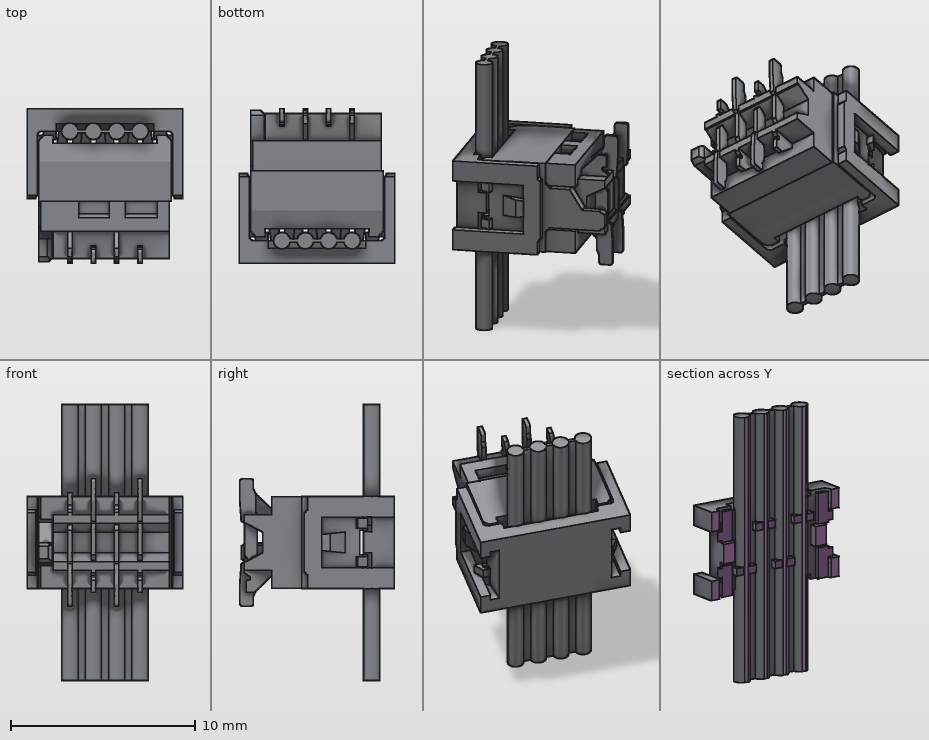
import cadquery as cq


WIRE_COUNT = 4
WIRE_SPAN = 3.81
WIRE_PITCH = WIRE_SPAN / (WIRE_COUNT - 1)
WIRE_DIAMETER = 0.9
WEB_THICKNESS = 0.18
CABLE_LENGTH = 15
wire_places = [i * WIRE_PITCH - WIRE_SPAN / 2 for i in range(WIRE_COUNT)]

OVERALL_DEPTH = 8.4
CONNECTOR_HEIGHT = 5.01
HALF_HEIGHT = CONNECTOR_HEIGHT / 2
BODY_HALF_WIDTH = 3.6
SIDE_CLEARANCE = 0.08
BACK_CLEARANCE = 0.22

COVER_WIDTH = 8.46
COVER_HALF_WIDTH = COVER_WIDTH / 2
COVER_BACK_Y = 1.23
COVER_INNER_HALF_WIDTH = BODY_HALF_WIDTH + SIDE_CLEARANCE
COVER_CORNER_RADIUS = 0.25
ARM_SHOULDER_Y = -3.48
ARM_TIP_Y = -3.66
ARM_TIP_HALF_HEIGHT = 1.6
ARM_TIP_BEVEL = 0.09
ARM_WINDOW_Y = -2.72
ARM_WINDOW_HALF_HEIGHT = 1.38
CORE_HOLE_BACK_X = 3.16
CORE_HOLE_FRONT_X = 3.35
CORE_HOLE_HALF_HEIGHT = 1.7
WIRE_MOUTH_HALF_WIDTH = 2.65
WIRE_MOUTH_BACK_Y = 0.42
WIRE_MOUTH_DEPTH = 0.28
STOP_FRONT_Y = -0.45
CORE_HOLE_FLARE = (CORE_HOLE_FRONT_X - CORE_HOLE_BACK_X) / COVER_BACK_Y
STOP_OUTER_X = CORE_HOLE_FRONT_X - CORE_HOLE_FLARE * STOP_FRONT_Y
STOP_HALF_HEIGHT = 0.57
STOP_CLEARANCE = 0.09

BODY_BACK_Y = -BACK_CLEARANCE
BODY_FRONT_Y = -3.8
BODY_CORNER_CHAMFER = 0.27
BODY_TAPER_Y = -1.64
BODY_TAPER_DROP = 0.09
BLOCK_HALF_WIDTH = 3.5
BLOCK_HALF_HEIGHT = HALF_HEIGHT - 0.02
BLOCK_FRONT_Y = -5.43
WIRE_SEAT_HALF_WIDTH = 2.82
WIRE_SEAT_Y = -0.65
STOP_RECESS_HALF_HEIGHT = STOP_HALF_HEIGHT + STOP_CLEARANCE

FLANGE_LEFT_X = -2.82
FLANGE_FRONT_Y = -6.92
FLANGE_OUTER_Z = 1.52
FLANGE_EDGE_Z = 1.05
GROOVE_RIM_Y = -6.82
GROOVE_FLOOR_Y = -5.92
GROOVE_FLOOR_Z = 0.55

POCKET_PLACES = [(-1.42, 0.24), (1.11, 2.84)]
POCKET_FLOOR_FRONT_Y = -4.47
POCKET_FRONT_Y = -4.7
POCKET_BACK_DEPTH = 0.44
POCKET_FRONT_DEPTH = 0.4

LATCH_BAY_ROOT_Z = 1.42
LATCH_BAY_HALF_HEIGHT = 1.25
LATCH_BAY_CHAMFER_Y = -3.9
LATCH_INNER_X = -2.86
LATCH_ROOT_Z = 1.35
LATCH_ROOT_Y = -4.05
LATCH_HALF_HEIGHT = 1.11
LATCH_SLOPE_TOP_Y = -5.15
LATCH_SLOPE_FOOT_Y = -5.84
LATCH_LEDGE_Z = -0.02
LATCH_NOSE_Y = -6.81
LATCH_TIP_Y = -7.1
LATCH_TIP_TOP_Z = -0.2
LATCH_TIP_BOTTOM_Z = -0.88
LATCH_TIP_INNER_X = -3.08
LATCH_BEVEL_START_Y = -6.9
LATCH_LEDGE_BEVEL_X = -3.14
LATCH_LEDGE_BEVEL_DROP = 0.14

WEDGE_HEIGHT = 0.51
WEDGE_BACK_Y = -1.44
WEDGE_CREST_Y = -2.25
WEDGE_FRONT_Y = ARM_WINDOW_Y
WEDGE_BACK_HALF_HEIGHT = 0.57
WEDGE_FRONT_HALF_HEIGHT = 0.44

HOOK_BACK_X = COVER_INNER_HALF_WIDTH
HOOK_CREST_X = 4.02
HOOK_CREST_Y = -0.76
HOOK_FRONT_Y = -0.82
HOOK_LOW_Z = 0.78
HOOK_HIGH_Z = 1.3

CONTACT_THICKNESS = 0.24
LEG_BACK_Y = -6.21
LEG_SHOULDER_Y = -6.28
LEG_SHOULDER_BOTTOM_Z = 1.65
LEG_SHOULDER_TOP_Z = 2.62
LEG_BLADE_Y = -6.42
LEG_BLADE_Z = 2.92
LEG_TIP_Z = 3.46
LEG_TIP_RADIUS = 0.15
LEG_FRONT_Y = COVER_BACK_Y - OVERALL_DEPTH
LEG_FRONT_Z = 2.25
LEG_HEEL_Y = -7.1
LEG_HEEL_Z = 1.15
LEG_ROOT_Z = 0.66
LEG_POINT_Y = -6.69
LEG_POINT_Z = 0.96
STUB_BACK_Z = 1.82
STUB_SLOPE_END_Y = -6.35
STUB_FRONT_Y = -6.82
STUB_END_Z = 2.7
STUB_NOTCH_BOTTOM_Z = -2.05
STUB_NOTCH_RADIUS = 0.12
STUB_FOOT_Z = 1.65
TINE_BASE_HALF_WIDTH = 0.69
TINE_TOP_HALF_WIDTH = 0.6
TINE_SLOT_WIDTH = 0.3
TINE_Z = 0.95
TINE_THICKNESS = 0.45


def box(x0, x1, y0, y1, z0, z1):
    """Box between two corners."""
    return cq.Workplane("XY").box(x1 - x0, y1 - y0, z1 - z0, centered=False).translate((x0, y0, z0))


def prism_x(points, x0, x1):
    """Outline of (Y, Z) points extruded from x0 to x1."""
    return cq.Workplane("YZ").polyline(points).close().extrude(x1 - x0).translate((x0, 0, 0))


def prism_z(points, z0, z1):
    """Outline of (X, Y) points extruded from z0 to z1."""
    return cq.Workplane("XY").polyline(points).close().extrude(z1 - z0).translate((0, 0, z0))


def both_sides(shape):
    """The shape together with its mirror image across X = 0."""
    return shape.union(shape.mirror("YZ"))


def both_ends(shape):
    """The shape together with its mirror image across Z = 0."""
    return shape.union(shape.mirror("XY"))


def make_cable():
    half_length = CABLE_LENGTH / 2
    half_web = WEB_THICKNESS / 2
    cable = box(-WIRE_SPAN / 2, WIRE_SPAN / 2, -half_web, half_web, -half_length, half_length)
    for x in wire_places:
        wire = cq.Workplane("XY").circle(WIRE_DIAMETER / 2).extrude(CABLE_LENGTH)
        cable = cable.union(wire.translate((x, 0, -half_length)))
    return cable


def cover_arm_bevels():
    """Cut that thins the arm ends, leaving a bevelled tongue at mid height."""
    step = ARM_SHOULDER_Y - ARM_TIP_Y
    corner = prism_x([
        (ARM_TIP_Y, ARM_TIP_HALF_HEIGHT),
        (ARM_SHOULDER_Y, ARM_TIP_HALF_HEIGHT + step),
        (ARM_SHOULDER_Y, HALF_HEIGHT),
        (ARM_TIP_Y, HALF_HEIGHT),
    ], -COVER_HALF_WIDTH, COVER_HALF_WIDTH)
    inner_edge = prism_z([
        (COVER_INNER_HALF_WIDTH, ARM_TIP_Y),
        (COVER_INNER_HALF_WIDTH + ARM_TIP_BEVEL, ARM_TIP_Y),
        (COVER_INNER_HALF_WIDTH + ARM_TIP_BEVEL, ARM_TIP_Y + ARM_TIP_BEVEL),
        (COVER_INNER_HALF_WIDTH, ARM_TIP_Y + 2 * ARM_TIP_BEVEL),
    ], -HALF_HEIGHT, HALF_HEIGHT)
    return both_ends(corner).union(both_sides(inner_edge))


def cover_windows():
    """Side windows through the arms, and core holes through the back wall behind them."""
    window = box(COVER_INNER_HALF_WIDTH, COVER_HALF_WIDTH, ARM_WINDOW_Y, COVER_BACK_Y,
                 -ARM_WINDOW_HALF_HEIGHT, ARM_WINDOW_HALF_HEIGHT)
    core_hole = prism_z([
        (CORE_HOLE_BACK_X, COVER_BACK_Y),
        (COVER_INNER_HALF_WIDTH, COVER_BACK_Y),
        (COVER_INNER_HALF_WIDTH, -COVER_CORNER_RADIUS),
        (CORE_HOLE_FRONT_X, -COVER_CORNER_RADIUS),
        (CORE_HOLE_FRONT_X, 0),
    ], -CORE_HOLE_HALF_HEIGHT, CORE_HOLE_HALF_HEIGHT)
    return both_sides(window.union(core_hole))


def cover_stop():
    """Lug ahead of the back wall that enters the recess in the back of the housing."""
    return prism_z([
        (WIRE_MOUTH_HALF_WIDTH, 0),
        (CORE_HOLE_FRONT_X, 0),
        (STOP_OUTER_X, STOP_FRONT_Y),
        (WIRE_MOUTH_HALF_WIDTH, STOP_FRONT_Y),
    ], -STOP_HALF_HEIGHT, STOP_HALF_HEIGHT)


def cover_wire_mouth():
    """Sloped lead-in where the cable enters and leaves the back wall."""
    mouth = prism_x([
        (0, HALF_HEIGHT),
        (WIRE_MOUTH_BACK_Y, HALF_HEIGHT),
        (0, HALF_HEIGHT - WIRE_MOUTH_DEPTH),
    ], -WIRE_MOUTH_HALF_WIDTH, WIRE_MOUTH_HALF_WIDTH)
    return both_ends(mouth)


def make_cover(cable):
    cover = box(-COVER_HALF_WIDTH, COVER_HALF_WIDTH, ARM_TIP_Y, COVER_BACK_Y, -HALF_HEIGHT, HALF_HEIGHT)
    inside = box(-COVER_INNER_HALF_WIDTH, COVER_INNER_HALF_WIDTH, ARM_TIP_Y, 0, -HALF_HEIGHT, HALF_HEIGHT)
    inside = inside.edges("|Z and >Y").fillet(COVER_CORNER_RADIUS)
    cover = cover.cut(inside).cut(cover_arm_bevels()).cut(cover_windows())
    return cover.union(both_sides(cover_stop())).cut(cover_wire_mouth()).cut(cable)


def housing_body():
    """Rear body between the cover arms, thinned at the back and notched for the cable."""
    back_half_height = HALF_HEIGHT - BODY_TAPER_DROP
    body = prism_x([
        (BODY_FRONT_Y, HALF_HEIGHT),
        (BODY_TAPER_Y, HALF_HEIGHT),
        (BODY_BACK_Y, back_half_height),
        (BODY_BACK_Y, -back_half_height),
        (BODY_TAPER_Y, -HALF_HEIGHT),
        (BODY_FRONT_Y, -HALF_HEIGHT),
    ], -BODY_HALF_WIDTH, BODY_HALF_WIDTH)
    corner = prism_z([
        (BODY_HALF_WIDTH, BODY_BACK_Y),
        (BODY_HALF_WIDTH - BODY_CORNER_CHAMFER, BODY_BACK_Y),
        (BODY_HALF_WIDTH, BODY_BACK_Y - BODY_CORNER_CHAMFER),
    ], -HALF_HEIGHT, HALF_HEIGHT)
    wire_seat = box(-WIRE_SEAT_HALF_WIDTH, WIRE_SEAT_HALF_WIDTH, WIRE_SEAT_Y, 0, -HALF_HEIGHT, HALF_HEIGHT)
    stop_recess = box(-BODY_HALF_WIDTH, BODY_HALF_WIDTH, WIRE_SEAT_Y, 0,
                      -STOP_RECESS_HALF_HEIGHT, STOP_RECESS_HALF_HEIGHT)
    return body.cut(both_sides(corner)).cut(wire_seat).cut(stop_recess)


def wedge():
    """Ramp on the body side that locks behind the front edge of the cover window."""
    crest = BODY_HALF_WIDTH + WEDGE_HEIGHT
    ramp = prism_z([
        (BODY_HALF_WIDTH, WEDGE_BACK_Y),
        (crest, WEDGE_CREST_Y),
        (crest, WEDGE_FRONT_Y),
        (BODY_HALF_WIDTH, WEDGE_FRONT_Y),
    ], -WEDGE_BACK_HALF_HEIGHT, WEDGE_BACK_HALF_HEIGHT)
    taper = prism_x([
        (WEDGE_BACK_Y, WEDGE_BACK_HALF_HEIGHT),
        (WEDGE_FRONT_Y, WEDGE_FRONT_HALF_HEIGHT),
        (WEDGE_FRONT_Y, -WEDGE_FRONT_HALF_HEIGHT),
        (WEDGE_BACK_Y, -WEDGE_BACK_HALF_HEIGHT),
    ], BODY_HALF_WIDTH, crest)
    return ramp.intersect(taper)


def hook():
    """Upper ramped hook at the back corner of the body."""
    return prism_z([
        (BODY_HALF_WIDTH - BODY_CORNER_CHAMFER, BODY_BACK_Y),
        (HOOK_BACK_X, BODY_BACK_Y),
        (HOOK_CREST_X, HOOK_CREST_Y),
        (BODY_HALF_WIDTH, HOOK_FRONT_Y),
        (BODY_HALF_WIDTH - BODY_CORNER_CHAMFER, HOOK_FRONT_Y),
    ], HOOK_LOW_Z, HOOK_HIGH_Z)


def front_block():
    """Block ahead of the body, with pockets in its top and two flanges around a groove."""
    block = box(-BLOCK_HALF_WIDTH, BLOCK_HALF_WIDTH, BLOCK_FRONT_Y, BODY_FRONT_Y,
                -BLOCK_HALF_HEIGHT, BLOCK_HALF_HEIGHT)
    flanges = prism_x([
        (BLOCK_FRONT_Y, FLANGE_OUTER_Z),
        (FLANGE_FRONT_Y, FLANGE_OUTER_Z),
        (FLANGE_FRONT_Y, FLANGE_EDGE_Z),
        (GROOVE_RIM_Y, FLANGE_EDGE_Z),
        (GROOVE_FLOOR_Y, GROOVE_FLOOR_Z),
        (GROOVE_FLOOR_Y, -GROOVE_FLOOR_Z),
        (GROOVE_RIM_Y, -FLANGE_EDGE_Z),
        (FLANGE_FRONT_Y, -FLANGE_EDGE_Z),
        (FLANGE_FRONT_Y, -FLANGE_OUTER_Z),
        (BLOCK_FRONT_Y, -FLANGE_OUTER_Z),
    ], FLANGE_LEFT_X, BLOCK_HALF_WIDTH)
    block = block.union(flanges)
    for x0, x1 in POCKET_PLACES:
        block = block.cut(prism_x([
            (BODY_FRONT_Y, BLOCK_HALF_HEIGHT),
            (BODY_FRONT_Y, BLOCK_HALF_HEIGHT - POCKET_BACK_DEPTH),
            (POCKET_FLOOR_FRONT_Y, BLOCK_HALF_HEIGHT - POCKET_FRONT_DEPTH),
            (POCKET_FRONT_Y, BLOCK_HALF_HEIGHT),
        ], x0, x1))
    return block


def latch_bay():
    """Opening in the front block around the latch arm."""
    return prism_x([
        (BODY_FRONT_Y, LATCH_BAY_ROOT_Z),
        (LATCH_BAY_CHAMFER_Y, LATCH_BAY_HALF_HEIGHT),
        (BLOCK_FRONT_Y, LATCH_BAY_HALF_HEIGHT),
        (BLOCK_FRONT_Y, -LATCH_BAY_HALF_HEIGHT),
        (LATCH_BAY_CHAMFER_Y, -LATCH_BAY_HALF_HEIGHT),
        (BODY_FRONT_Y, -LATCH_BAY_ROOT_Z),
    ], -BODY_HALF_WIDTH, FLANGE_LEFT_X)


def latch_arm():
    """Arm along the left side that steps down to a narrow bevelled tip."""
    arm = prism_x([
        (BODY_FRONT_Y, LATCH_ROOT_Z),
        (LATCH_ROOT_Y, LATCH_HALF_HEIGHT),
        (LATCH_SLOPE_TOP_Y, LATCH_HALF_HEIGHT),
        (LATCH_SLOPE_FOOT_Y, LATCH_LEDGE_Z),
        (LATCH_NOSE_Y, LATCH_LEDGE_Z),
        (LATCH_TIP_Y, LATCH_TIP_TOP_Z),
        (LATCH_TIP_Y, LATCH_TIP_BOTTOM_Z),
        (LATCH_NOSE_Y, -LATCH_HALF_HEIGHT),
        (LATCH_ROOT_Y, -LATCH_HALF_HEIGHT),
        (BODY_FRONT_Y, -LATCH_ROOT_Z),
    ], -BODY_HALF_WIDTH, LATCH_INNER_X)
    tip_bevel = prism_z([
        (LATCH_INNER_X, LATCH_BEVEL_START_Y),
        (LATCH_INNER_X, LATCH_TIP_Y),
        (LATCH_TIP_INNER_X, LATCH_TIP_Y),
    ], -LATCH_HALF_HEIGHT, LATCH_HALF_HEIGHT)
    ledge_bevel = (
        cq.Workplane("XZ")
        .polyline([
            (LATCH_LEDGE_BEVEL_X, LATCH_LEDGE_Z),
            (LATCH_INNER_X, LATCH_LEDGE_Z),
            (LATCH_INNER_X, LATCH_LEDGE_Z - LATCH_LEDGE_BEVEL_DROP),
        ])
        .close()
        .extrude(LATCH_SLOPE_FOOT_Y - LATCH_TIP_Y)
        .translate((0, LATCH_SLOPE_FOOT_Y, 0))
    )
    return arm.cut(tip_bevel).cut(ledge_bevel)


def contact_leg():
    """Long upper leg that runs up past the flanges, with its pointed root inside the groove."""
    leg = prism_x([
        (LEG_BACK_Y, -LEG_ROOT_Z),
        (LEG_BACK_Y, FLANGE_OUTER_Z),
        (LEG_SHOULDER_Y, LEG_SHOULDER_BOTTOM_Z),
        (LEG_SHOULDER_Y, LEG_SHOULDER_TOP_Z),
        (LEG_BLADE_Y, LEG_BLADE_Z),
        (LEG_BLADE_Y, LEG_TIP_Z),
        (LEG_FRONT_Y, LEG_TIP_Z),
        (LEG_FRONT_Y, LEG_FRONT_Z),
        (LEG_HEEL_Y, LEG_HEEL_Z),
        (FLANGE_FRONT_Y, FLANGE_EDGE_Z),
        (FLANGE_FRONT_Y, -LEG_ROOT_Z),
        (LEG_POINT_Y, -LEG_POINT_Z),
    ], -CONTACT_THICKNESS / 2, CONTACT_THICKNESS / 2)
    return leg.edges("|X and >Z").fillet(LEG_TIP_RADIUS)


def contact_stub():
    """Short lower stub with a sloped back and a round notch in its front."""
    notch_y = STUB_FRONT_Y + STUB_NOTCH_RADIUS
    notch_z = STUB_NOTCH_BOTTOM_Z + STUB_NOTCH_RADIUS
    return (
        cq.Workplane("YZ", origin=(-CONTACT_THICKNESS / 2, 0, 0))
        .moveTo(BLOCK_FRONT_Y, -FLANGE_OUTER_Z)
        .lineTo(BLOCK_FRONT_Y, -STUB_BACK_Z)
        .lineTo(STUB_SLOPE_END_Y, -STUB_END_Z)
        .lineTo(STUB_FRONT_Y, -STUB_END_Z)
        .lineTo(STUB_FRONT_Y, STUB_NOTCH_BOTTOM_Z)
        .lineTo(notch_y, STUB_NOTCH_BOTTOM_Z)
        .threePointArc((notch_y + STUB_NOTCH_RADIUS, notch_z), (notch_y, notch_z + STUB_NOTCH_RADIUS))
        .lineTo(FLANGE_FRONT_Y, -STUB_FOOT_Z)
        .lineTo(FLANGE_FRONT_Y, -FLANGE_OUTER_Z)
        .close()
        .extrude(CONTACT_THICKNESS)
    )


def contact_tines():
    """Forked end that straddles a wire."""
    fork = prism_z([
        (-TINE_BASE_HALF_WIDTH, WIRE_SEAT_Y),
        (-TINE_TOP_HALF_WIDTH, 0),
        (TINE_TOP_HALF_WIDTH, 0),
        (TINE_BASE_HALF_WIDTH, WIRE_SEAT_Y),
    ], TINE_Z, TINE_Z + TINE_THICKNESS)
    slot = box(-TINE_SLOT_WIDTH / 2, TINE_SLOT_WIDTH / 2, WIRE_SEAT_Y, 0, TINE_Z, TINE_Z + TINE_THICKNESS)
    return fork.cut(slot)


def make_housing(cable):
    housing = housing_body().union(front_block().cut(latch_bay())).union(latch_arm())
    housing = housing.union(both_sides(wedge())).union(both_sides(both_ends(hook())))
    for i, x in enumerate(wire_places):
        contact = contact_leg().union(contact_stub()).union(contact_tines())
        if i % 2 == 0:
            contact = contact.mirror("XY")
        housing = housing.union(contact.translate((x, 0, 0)))
    return housing.cut(cable)


cable = make_cable()
cover = make_cover(cable)
housing = make_housing(cable)

result = cq.Compound.makeCompound([cable.val(), cover.val(), housing.val()])